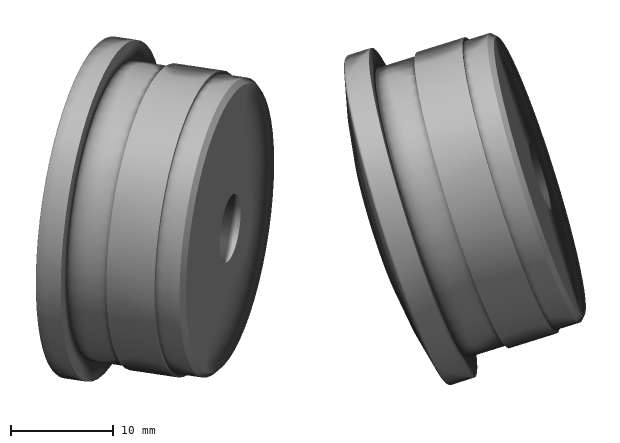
import cadquery as cq
import math

total_length = 16.9

flange_radius = 16.85
dome_radius = 58.98
flange_back = 4.9
flange_edge_fillet = 0.3

plug_radius = 14.8
band_radius = 15.13
band_start = 9.0
band_width = 4.92
band_end = band_start + band_width
end_chamfer = 0.5

hole_radius = 3.4
countersink_radius = 3.88
countersink_depth = countersink_radius - hole_radius

dome_center = math.sqrt(dome_radius**2 - countersink_radius**2)


def dome_point(radius):
    """Point of the dome profile at a given distance from the X axis."""
    return (dome_center - math.sqrt(dome_radius**2 - radius**2), radius)


def revolved_body():
    """Half section drawn as (X, distance from axis), turned around the X axis."""
    dome_middle_radius = (countersink_radius + flange_radius) / 2
    section = (
        cq.Workplane("XY")
        .moveTo(countersink_depth, hole_radius)
        .lineTo(*dome_point(countersink_radius))
        .threePointArc(dome_point(dome_middle_radius), dome_point(flange_radius))
        .lineTo(flange_back, flange_radius)
        .lineTo(flange_back, plug_radius)
        .lineTo(band_start, plug_radius)
        .lineTo(band_start, band_radius)
        .lineTo(band_end, band_radius)
        .lineTo(band_end, plug_radius)
        .lineTo(total_length - end_chamfer, plug_radius)
        .lineTo(total_length, plug_radius - end_chamfer)
        .lineTo(total_length, hole_radius)
        .close()
    )
    return section.revolve(360, (0, 0, 0), (1, 0, 0))


def round_flange_edge(body):
    """Round the circle where the dome meets the flange's outer cylinder."""
    edge_x = dome_point(flange_radius)[0]
    margin = 0.05
    circle_center_box = cq.selectors.BoxSelector(
        (edge_x - margin, -margin, -margin),
        (edge_x + margin, margin, margin),
    )
    return body.edges(circle_center_box).fillet(flange_edge_fillet)


result = round_flange_edge(revolved_body())